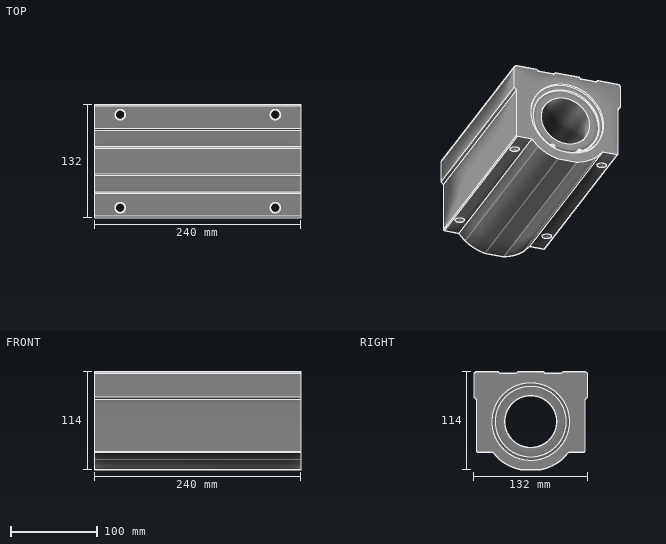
import cadquery as cq
import math

LENGTH = 240.0
HEIGHT = 114.0
UPPER_WIDTH = 132.0
LOWER_WIDTH = 126.0
TOP_Z = 58.0
BOTTOM_Z = TOP_Z - HEIGHT
LEDGE_Z = -35.8
STEP_TOP_Z = TOP_Z - 29.5
STEP_BOTTOM_Z = STEP_TOP_Z - (UPPER_WIDTH - LOWER_WIDTH) / 2
BELLY_RADIUS = 57.0
FLARE_START_Y = 44.0
FLARE_END_Z = -44.2
TOP_CHAMFER = 2.2
LEDGE_CHAMFER = 1.2

GROOVE_DEPTH = 2.0
GROOVE_INNER_Y = 15.0
GROOVE_OUTER_Y = 37.7

HOLE_DIAMETER = 10.8
HOLE_CHAMFER = 0.7
HOLE_SPACING_X = 180.0
HOLE_SPACING_Y = 108.0

BEARING_DIAMETER = 90.0
SHAFT_DIAMETER = 60.0
SEAL_DIAMETER = 82.0
SEAL_RECESS = 0.12
BEARING_INSET = 6.0

RING_THICKNESS = 3.0
RING_INNER_DIAMETER = 81.5
RING_INNER_DROP = 1.7
EAR_DIAMETER = 6.2
EAR_HOLE_DIAMETER = 3.0
EAR_RADIAL_PLACE = 42.5
EAR_ANGLE = 23.5


def mirrored_y(points):
    """The same points on the -Y side, in reverse order."""
    return [(-y, z) for y, z in reversed(points)]


def make_profile():
    """Closed cross-section of the housing in the YZ plane."""
    half_upper = UPPER_WIDTH / 2
    half_lower = LOWER_WIDTH / 2
    groove_z = TOP_Z - GROOVE_DEPTH
    top_half = [
        (GROOVE_INNER_Y, TOP_Z),
        (GROOVE_INNER_Y + GROOVE_DEPTH, groove_z),
        (GROOVE_OUTER_Y - GROOVE_DEPTH, groove_z),
        (GROOVE_OUTER_Y, TOP_Z),
        (half_upper - TOP_CHAMFER, TOP_Z),
        (half_upper, TOP_Z - TOP_CHAMFER),
        (half_upper, STEP_TOP_Z),
        (half_lower, STEP_BOTTOM_Z),
        (half_lower, LEDGE_Z + LEDGE_CHAMFER),
        (half_lower - LEDGE_CHAMFER, LEDGE_Z),
        (FLARE_START_Y, LEDGE_Z),
    ]
    flare_end_y = math.sqrt(BELLY_RADIUS**2 - FLARE_END_Z**2)
    flat_half_width = math.sqrt(BELLY_RADIUS**2 - BOTTOM_Z**2)
    flare_end_angle = math.acos(-FLARE_END_Z / BELLY_RADIUS)
    flat_end_angle = math.acos(-BOTTOM_Z / BELLY_RADIUS)
    middle_angle = (flare_end_angle + flat_end_angle) / 2
    arc_middle_y = BELLY_RADIUS * math.sin(middle_angle)
    arc_middle_z = -BELLY_RADIUS * math.cos(middle_angle)
    return (
        cq.Workplane("YZ", origin=(-LENGTH / 2, 0, 0))
        .polyline(mirrored_y(top_half) + top_half)
        .lineTo(flare_end_y, FLARE_END_Z)
        .threePointArc((arc_middle_y, arc_middle_z), (flat_half_width, BOTTOM_Z))
        .lineTo(-flat_half_width, BOTTOM_Z)
        .threePointArc((-arc_middle_y, arc_middle_z), (-flare_end_y, FLARE_END_Z))
        .close()
    )


def along_x(diameter, start_x, length):
    """Cylinder on the bearing axis."""
    return cq.Workplane("YZ", origin=(start_x, 0, 0)).circle(diameter / 2).extrude(length)


def make_mounting_holes():
    """Four through-hole cutters with a small chamfer at the mounting face."""
    spots = cq.Workplane("XY", origin=(0, 0, TOP_Z)).rarray(HOLE_SPACING_X, HOLE_SPACING_Y, 2, 2)
    drills = spots.circle(HOLE_DIAMETER / 2).extrude(-HEIGHT)
    mouth_radius = HOLE_DIAMETER / 2 + HOLE_CHAMFER
    countersinks = spots.circle(mouth_radius).extrude(-HOLE_CHAMFER, taper=45)
    return drills.union(countersinks)


def make_housing():
    block = make_profile().extrude(LENGTH)
    return block.cut(along_x(BEARING_DIAMETER, -LENGTH / 2, LENGTH)).cut(make_mounting_holes())


def make_bearing():
    """Sleeve with a shallow seal recess in both end faces."""
    start_x = -LENGTH / 2 + BEARING_INSET
    length = LENGTH - 2 * BEARING_INSET
    sleeve = along_x(BEARING_DIAMETER, start_x, length).cut(along_x(SHAFT_DIAMETER, start_x, length))
    for recess_x in (start_x, start_x + length - SEAL_RECESS):
        sleeve = sleeve.cut(along_x(SEAL_DIAMETER, recess_x, SEAL_RECESS))
    return sleeve


def make_retaining_ring():
    """Eccentric open ring whose two ends carry ears with plier holes."""
    start_x = -LENGTH / 2 + BEARING_INSET - RING_THICKNESS
    plane = cq.Workplane("YZ", origin=(start_x, 0, 0))
    angle = math.radians(EAR_ANGLE)
    ear_y = EAR_RADIAL_PLACE * math.sin(angle)
    ear_z = -EAR_RADIAL_PLACE * math.cos(angle)
    ear_spots = [(-ear_y, ear_z), (ear_y, ear_z)]

    disc = along_x(BEARING_DIAMETER, start_x, RING_THICKNESS)
    opening = plane.center(0, -RING_INNER_DROP).circle(RING_INNER_DIAMETER / 2).extrude(RING_THICKNESS)
    wedge = [(0, 0), (2 * ear_y, 2 * ear_z), (-2 * ear_y, 2 * ear_z)]
    gap = plane.polyline(wedge).close().extrude(RING_THICKNESS)
    ears = plane.pushPoints(ear_spots).circle(EAR_DIAMETER / 2).extrude(RING_THICKNESS).intersect(disc)
    plier_holes = plane.pushPoints(ear_spots).circle(EAR_HOLE_DIAMETER / 2).extrude(RING_THICKNESS)
    return disc.cut(opening).cut(gap).union(ears).cut(plier_holes)


housing = make_housing()
bearing = make_bearing()
retaining_ring = make_retaining_ring()

result = cq.Compound.makeCompound([housing.val(), bearing.val(), retaining_ring.val()])